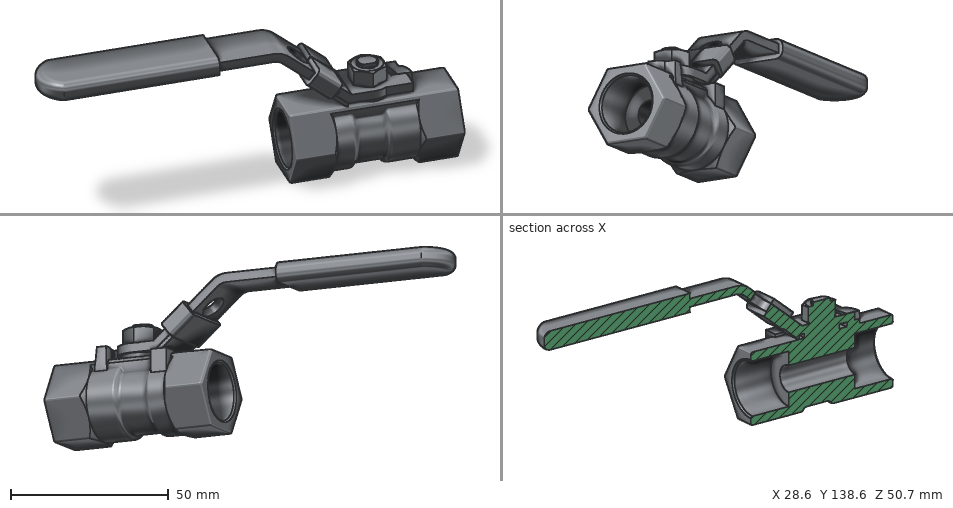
import cadquery as cq
import math


body_half_length = 28.25
hex_flats = 25.0
hex_edge_radius = 1.0
hex_length = 13.1
hex_end_radius = 0.9
barrel_diameter = 25.0
neck_diameter = 22.3
neck_front_y = -7.2
neck_rear_y = 3.5
step_half_length = 1.25
shoulder_length = 1.3
port_diameter = 18.63
port_depth = 15.0
port_chamfer = 0.6
flow_diameter = 9.0

pad_width = 16.0
pad_fillet = 0.6
front_stop_reach = 11.0
front_stop_inner_x = -6.0
front_stop_front_y = -14.0
front_stop_rear_y = -8.4
front_stop_top_z = 13.5
front_stop_base_z = 5.9
rear_stop_base_z = 8.6
rear_stop_top_z = 16.7
rear_stop_taper = 4.0
rear_stop_reach = 9.0
rear_stop_front_y = 8.3
rear_stop_side_y = 12.7
rear_stop_rear_y = 15.5
rear_stop_end_x = 0.4
rear_stop_bend_x = -5.7
rear_stop_inner_radius = 9.6
rear_stop_corner_y = 13.4
rear_stop_shoulder = (-2.7, 15.2)

lever_width = 16.0
lever_thickness = 3.0
lever_underside_z = 13.9
lever_slope_deg = 40.0
lower_bend_y = -7.75
upper_bend_radius = 8.0
lever_upper_z = 36.4
hub_radius = lever_width / 2
arm_width = 6.85
arm_end_y = 13.1
lock_hole_diameter = 8.0
lock_hole_y = -24.15

sleeve_width = 19.8
sleeve_height = 6.6
sleeve_length = 10.0
sleeve_center_y = -17.1
sleeve_edge_radius = 1.7
sleeve_seam_width = 0.4
tongue_thickness = 1.4
tongue_left_x = -8.6
tongue_right_x = 7.6
tongue_base_z = 12.5

grip_width = 19.0
grip_height = 6.6
grip_start_y = -52.25
grip_end_y = -110.35
grip_end_rise = 6.1
grip_edge_radius = 2.6
grip_top_z = 38.2

collar_diameter = 14.0
stem_diameter = 7.0
stem_flats = 5.0
stem_root_z = 9.0
stem_top_z = 23.9
stem_flats_base_z = 22.0
stem_chamfer = 0.4
nut_flats = 11.0
nut_height = 5.5
nut_washer_height = 0.35
nut_face_diameter = 10.4
nut_chamfer_height = 0.5

body_end_radius = hex_flats / math.sqrt(3) - hex_edge_radius * (2 / math.sqrt(3) - 1)
hex_inner_y = body_half_length - hex_length
slope = math.radians(lever_slope_deg)
lever_top_z = lever_underside_z + lever_thickness


def ring_along_y(start, build):
    """Revolve the half profile drawn by build, in (radius, y), about Y."""
    return build(cq.Workplane("XY").moveTo(*start)).close().revolve(360, (0, 0), (0, 1))


def cylinder_along_y(diameter, y_start, y_end):
    return (
        cq.Workplane("XZ", origin=(0, y_start, 0))
        .circle(diameter / 2)
        .extrude(y_start - y_end)
    )


def hex_bar(y_start, y_end):
    """Hexagonal bar along Y with flats at top and bottom and rounded long edges."""
    return (
        cq.Workplane("XZ", origin=(0, y_start, 0))
        .polygon(6, 2 * hex_flats / math.sqrt(3))
        .extrude(y_start - y_end)
        .edges("|Y")
        .fillet(hex_edge_radius)
    )


def make_hex_end():
    """Rear wrench hexagon, rounded at its mouth and turned down towards the barrel."""
    barrel_y = hex_inner_y - shoulder_length
    hexagon = (
        hex_bar(barrel_y, body_half_length)
        .faces(">Y")
        .edges()
        .fillet(hex_end_radius)
    )

    def envelope(path):
        return (
            path.lineTo(barrel_diameter / 2, barrel_y)
            .lineTo(body_end_radius, hex_inner_y)
            .lineTo(body_end_radius, body_half_length)
            .lineTo(0, body_half_length)
        )

    return hexagon.intersect(ring_along_y((0, barrel_y), envelope))


def make_barrel():
    """Round middle of the body with a waist joined by S-shaped steps."""
    outer = barrel_diameter / 2
    neck = neck_diameter / 2
    middle = (outer + neck) / 2
    front_y = neck_front_y
    rear_y = neck_rear_y

    def profile(path):
        return (
            path.lineTo(outer, -hex_inner_y)
            .lineTo(outer, front_y - step_half_length)
            .tangentArcPoint((middle, front_y), relative=False)
            .tangentArcPoint((neck, front_y + step_half_length), relative=False)
            .lineTo(neck, rear_y - step_half_length)
            .tangentArcPoint((middle, rear_y), relative=False)
            .tangentArcPoint((outer, rear_y + step_half_length), relative=False)
            .lineTo(outer, hex_inner_y)
            .lineTo(0, hex_inner_y)
        )

    return ring_along_y((0, -hex_inner_y), profile)


def make_pad():
    """Upper part of the hexagon carried between the two ends under the lever."""
    limits = cq.Workplane("XY").box(pad_width, 2 * hex_inner_y, hex_flats, centered=(True, True, False))
    return hex_bar(-hex_inner_y, hex_inner_y).intersect(limits)


def blend_pad(body):
    """Round the inside corners where the pad's sides meet the waist and its steps."""
    neck_radius = neck_diameter / 2
    half_pad = pad_width / 2
    low_z = math.sqrt(neck_radius**2 - half_pad**2)
    high_z = math.sqrt((barrel_diameter / 2) ** 2 - half_pad**2)
    margin = 0.1
    for side in (-1, 1):
        corner = cq.selectors.BoxSelector(
            (side * half_pad - margin, neck_front_y - step_half_length - margin, low_z - margin),
            (side * half_pad + margin, neck_rear_y + step_half_length + margin, high_z + margin),
        )
        body = body.edges(corner).fillet(pad_fillet)
    return body


def make_front_stop():
    return (
        cq.Workplane("XY", origin=(0, 0, front_stop_base_z))
        .moveTo(-front_stop_reach, front_stop_front_y)
        .lineTo(front_stop_inner_x, front_stop_front_y)
        .lineTo(front_stop_inner_x, front_stop_rear_y)
        .lineTo(-front_stop_reach, front_stop_rear_y)
        .close()
        .extrude(front_stop_top_z - front_stop_base_z)
    )


def make_rear_stop():
    """Curved, tapered stop beside the lever arm."""
    bend_angle = math.acos(rear_stop_bend_x / rear_stop_inner_radius)
    middle_angle = (bend_angle + math.pi / 2) / 2
    inner_middle = (
        rear_stop_inner_radius * math.cos(middle_angle),
        rear_stop_inner_radius * math.sin(middle_angle),
    )
    return (
        cq.Workplane("XY", origin=(0, 0, rear_stop_base_z))
        .moveTo(-rear_stop_reach, rear_stop_front_y)
        .lineTo(rear_stop_bend_x, rear_stop_front_y)
        .threePointArc(inner_middle, (rear_stop_end_x, rear_stop_inner_radius))
        .lineTo(rear_stop_end_x, rear_stop_rear_y)
        .threePointArc(rear_stop_shoulder, (rear_stop_bend_x, rear_stop_corner_y))
        .lineTo(rear_stop_bend_x, rear_stop_side_y)
        .lineTo(-rear_stop_reach, rear_stop_side_y)
        .close()
        .extrude(rear_stop_top_z - rear_stop_base_z, taper=rear_stop_taper)
    )


def cut_bore(body):
    """Through flow passage with a wider chamfered port at each end."""
    body = body.cut(cylinder_along_y(flow_diameter, -body_half_length, body_half_length))
    port_radius = port_diameter / 2
    floor_y = body_half_length - port_depth

    def profile(path):
        return (
            path.lineTo(port_radius, floor_y)
            .lineTo(port_radius, body_half_length - port_chamfer)
            .lineTo(port_radius + port_chamfer, body_half_length)
            .lineTo(0, body_half_length)
        )

    port = ring_along_y((0, floor_y), profile)
    return body.cut(port).cut(port.mirror("XZ"))


def make_body():
    hex_end = make_hex_end()
    body = make_barrel().union(hex_end).union(hex_end.mirror("XZ"))
    body = blend_pad(body.union(make_pad()))
    body = body.union(make_front_stop()).union(make_rear_stop())
    return cut_bore(body)


def slope_top_z(y):
    """Height of the lever's upper face on its sloping stretch."""
    return lever_top_z + (lower_bend_y - y) * math.tan(slope)


def slope_plane(y):
    """Plane in the lever's mid-thickness: local x along X, local y up the slope."""
    mid_z = slope_top_z(y) - lever_thickness / 2 / math.cos(slope)
    normal = (0, math.sin(slope), math.cos(slope))
    return cq.Plane(origin=(0, y, mid_z), xDir=(-1, 0, 0), normal=normal)


def make_lever_strip():
    """Bent strip from the stem axis up to the grip."""
    inner_radius = upper_bend_radius - lever_thickness
    bend_start_z = lever_upper_z - upper_bend_radius * (1 - math.cos(slope))
    bend_start_y = lower_bend_y - (bend_start_z - lever_top_z) / math.tan(slope)
    center_y = bend_start_y - upper_bend_radius * math.sin(slope)
    center_z = lever_upper_z - upper_bend_radius
    lower_inner_y = lower_bend_y - lever_thickness * math.tan(slope / 2)

    def on_bend(radius, angle):
        return (center_y + radius * math.sin(angle), center_z + radius * math.cos(angle))

    return (
        cq.Workplane("YZ", origin=(-lever_width / 2, 0, 0))
        .moveTo(0, lever_underside_z)
        .lineTo(0, lever_top_z)
        .lineTo(lower_bend_y, lever_top_z)
        .lineTo(*on_bend(upper_bend_radius, slope))
        .threePointArc(on_bend(upper_bend_radius, slope / 2), on_bend(upper_bend_radius, 0))
        .lineTo(grip_start_y, lever_upper_z)
        .lineTo(grip_start_y, lever_upper_z - lever_thickness)
        .lineTo(center_y, lever_upper_z - lever_thickness)
        .threePointArc(on_bend(inner_radius, slope / 2), on_bend(inner_radius, slope))
        .lineTo(lower_inner_y, lever_underside_z)
        .close()
        .extrude(lever_width)
    )


def make_lever_hub():
    """Round end of the lever about the stem with a stop arm to the rear."""
    plate = cq.Workplane("XY", origin=(0, 0, lever_underside_z))
    disc = plate.circle(hub_radius).extrude(lever_thickness)
    arm = plate.rect(arm_width, arm_end_y, centered=False).extrude(lever_thickness)
    return disc.union(arm)


def make_sleeve():
    """Locking sleeve round the sloping stretch, with a seam in its upper wall."""
    plane = slope_plane(sleeve_center_y)
    wall = (sleeve_height - lever_thickness) / 2
    sleeve = cq.Workplane(plane).box(sleeve_width, sleeve_length, sleeve_height)
    long_edges = cq.selectors.ParallelDirSelector(plane.yDir)
    sleeve = sleeve.edges(long_edges).fillet(sleeve_edge_radius)
    seam = (
        cq.Workplane(plane)
        .workplane(offset=lever_thickness / 2)
        .rect(sleeve_seam_width, sleeve_length)
        .extrude(wall)
    )
    return sleeve.cut(seam)


def make_tongue():
    """Sleeve tongue lying under the lever and reaching down to the top of the body."""
    lower_inner_y = lower_bend_y - lever_thickness * math.tan(slope / 2)
    level_length = tongue_thickness / math.sin(slope)
    base_y = lower_inner_y - level_length + (lever_underside_z - tongue_base_z) / math.tan(slope)
    rise = (lower_inner_y - sleeve_center_y) * math.tan(slope)
    return (
        cq.Workplane("YZ", origin=(tongue_left_x, 0, 0))
        .moveTo(lower_inner_y, lever_underside_z)
        .lineTo(lower_inner_y, tongue_base_z)
        .lineTo(base_y, tongue_base_z)
        .lineTo(sleeve_center_y - level_length, lever_underside_z + rise)
        .lineTo(sleeve_center_y, lever_underside_z + rise)
        .close()
        .extrude(tongue_right_x - tongue_left_x)
    )


def make_lever():
    hole = (
        cq.Workplane(slope_plane(lock_hole_y))
        .circle(lock_hole_diameter / 2)
        .extrude(lever_thickness, both=True)
    )
    lever = make_lever_strip().union(make_lever_hub()).cut(hole)
    return lever.union(make_tongue()).union(make_sleeve())


def make_grip():
    """Rounded handle cover with a bowed end."""
    half_width = grip_width / 2
    bow_start_y = grip_end_y + grip_end_rise
    return (
        cq.Workplane("XY", origin=(0, 0, grip_top_z - grip_height))
        .moveTo(-half_width, grip_start_y)
        .lineTo(-half_width, bow_start_y)
        .threePointArc((0, grip_end_y), (half_width, bow_start_y))
        .lineTo(half_width, grip_start_y)
        .close()
        .extrude(grip_height)
        .faces("<Z or >Z")
        .edges("not >Y")
        .fillet(grip_edge_radius)
    )


def make_stem():
    """Collar under the lever and a stem with two flats at its top."""
    root = cq.Workplane("XY", origin=(0, 0, stem_root_z))
    collar = root.circle(collar_diameter / 2).extrude(lever_underside_z - stem_root_z)
    stem = (
        root.circle(stem_diameter / 2)
        .extrude(stem_top_z - stem_root_z)
        .faces(">Z")
        .chamfer(stem_chamfer)
    )
    flat_center_x = (stem_flats + stem_diameter) / 2
    flats_height = stem_top_z - stem_flats_base_z
    for side in (-1, 1):
        flat = (
            cq.Workplane("XY", origin=(side * flat_center_x, 0, stem_flats_base_z))
            .rect(stem_diameter, stem_diameter)
            .extrude(flats_height)
        )
        stem = stem.cut(flat)
    return collar.union(stem)


def make_nut():
    """Hexagon nut on a low washer face, with its upper corners turned off."""
    corner_radius = nut_flats / math.sqrt(3)
    seat_z = lever_top_z + nut_washer_height
    nut_top_z = seat_z + nut_height
    hexagon = (
        cq.Workplane("XY", origin=(0, 0, seat_z))
        .polygon(6, 2 * corner_radius)
        .extrude(nut_height)
    )
    envelope = (
        cq.Workplane("XZ")
        .moveTo(0, lever_top_z)
        .lineTo(corner_radius, lever_top_z)
        .lineTo(corner_radius, nut_top_z - nut_chamfer_height)
        .lineTo(nut_face_diameter / 2, nut_top_z)
        .lineTo(0, nut_top_z)
        .close()
        .revolve(360, (0, 0), (0, 1))
    )
    washer = (
        cq.Workplane("XY", origin=(0, 0, lever_top_z))
        .circle(nut_face_diameter / 2)
        .extrude(nut_washer_height)
    )
    stem_clearance = (
        cq.Workplane("XY", origin=(0, 0, stem_flats_base_z))
        .circle(stem_diameter / 2)
        .extrude(nut_top_z - stem_flats_base_z)
    )
    return hexagon.intersect(envelope).union(washer).cut(stem_clearance)


result = make_body()
for piece in (make_lever(), make_grip(), make_nut(), make_stem()):
    result = result.union(piece)